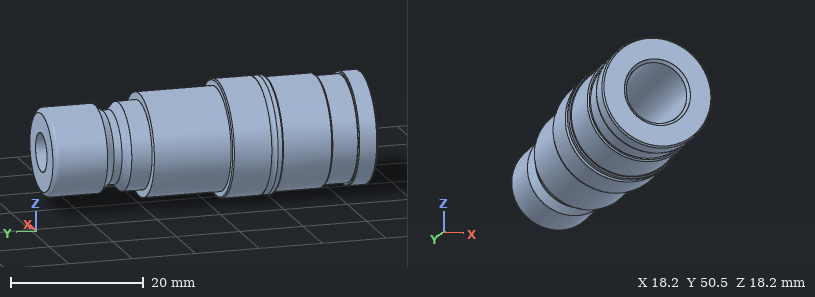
import cadquery as cq
import math

LENGTH = 50.5

BARREL_RADIUS = 8.75
BARREL_CHAMFER = 0.25
RIM_LENGTH = 3.1
RIM_BACK_CHAMFER = 0.15
RELIEF_RADIUS = 8.3
RELIEF_END = 7.1

COLLAR_RADIUS = 9.1
COLLAR_START = 15.0
COLLAR_END = 23.0
COLLAR_CHAMFER = 0.2
RING_GROOVE_START = 15.9
RING_GROOVE_WIDTH = 1.0
RING_GROOVE_DEPTH = 0.35

BODY_RADIUS = 8.05
BODY_END = 35.1
PLUG_RADIUS = 6.85
PLUG_TAPER_WIDTH = 0.8
PLUG_TAPER_ANGLE = 30
PLUG_FILLET = 0.6
NECK_RADIUS = 5.7
NECK_START = 39.5
NECK_END = 40.75
NECK_FRONT_TAPER = 1.2
NECK_BACK_TAPER = 1.35

SOCKET_RADIUS = 4.8
SOCKET_CHAMFER = 0.45
SOCKET_DEPTH = COLLAR_END
THROUGH_RADIUS = 3.0


def turn(outline):
    """Full turn about the Y axis of a closed outline drawn in the XY plane."""
    return outline.revolve(360, (0, 0, 0), (0, 1, 0))


def cylinder(radius, start, end):
    """Solid cylinder on the Y axis between two Y positions."""
    plane = cq.Workplane(cq.Plane(origin=(0, start, 0), xDir=(1, 0, 0), normal=(0, 1, 0)))
    return plane.circle(radius).extrude(end - start)


def revolve_profile(points):
    """Turned solid from the straight-sided outline through (radius, Y) points."""
    return turn(cq.Workplane("XY").polyline(points).close())


def make_rim():
    rim = cylinder(BARREL_RADIUS, 0, RIM_LENGTH)
    return rim.faces("<Y").chamfer(BARREL_CHAMFER).faces(">Y").chamfer(RIM_BACK_CHAMFER)


def make_barrel():
    relief = cylinder(RELIEF_RADIUS, RIM_LENGTH, RELIEF_END)
    barrel = cylinder(BARREL_RADIUS, RELIEF_END, COLLAR_START)
    return relief.union(barrel.faces("<Y").chamfer(BARREL_CHAMFER))


def make_collar():
    collar = cylinder(COLLAR_RADIUS, COLLAR_START, COLLAR_END)
    collar = collar.faces("<Y or >Y").edges().chamfer(COLLAR_CHAMFER)
    groove_end = RING_GROOVE_START + RING_GROOVE_WIDTH
    groove_middle = RING_GROOVE_START + RING_GROOVE_WIDTH / 2
    groove_outline = (
        cq.Workplane("XY")
        .moveTo(COLLAR_RADIUS, RING_GROOVE_START)
        .threePointArc((COLLAR_RADIUS - RING_GROOVE_DEPTH, groove_middle), (COLLAR_RADIUS, groove_end))
        .close()
    )
    return collar.cut(turn(groove_outline))


def make_plug():
    taper_start = LENGTH - PLUG_TAPER_WIDTH * math.tan(math.radians(PLUG_TAPER_ANGLE))
    profile = [
        (0, BODY_END),
        (PLUG_RADIUS, BODY_END),
        (PLUG_RADIUS, NECK_START - NECK_FRONT_TAPER),
        (NECK_RADIUS, NECK_START),
        (NECK_RADIUS, NECK_END),
        (PLUG_RADIUS, NECK_END + NECK_BACK_TAPER),
        (PLUG_RADIUS, taper_start),
        (PLUG_RADIUS - PLUG_TAPER_WIDTH, LENGTH),
        (0, LENGTH),
    ]
    plug = revolve_profile(profile)
    return plug.edges("%CIRCLE").edges(">>Y[-2]").fillet(PLUG_FILLET)


def make_bore():
    profile = [
        (0, 0),
        (SOCKET_RADIUS + SOCKET_CHAMFER, 0),
        (SOCKET_RADIUS, SOCKET_CHAMFER),
        (SOCKET_RADIUS, SOCKET_DEPTH),
        (THROUGH_RADIUS, SOCKET_DEPTH),
        (THROUGH_RADIUS, LENGTH),
        (0, LENGTH),
    ]
    return revolve_profile(profile)


body = cylinder(BODY_RADIUS, COLLAR_END, BODY_END)
outside = make_rim().union(make_barrel()).union(make_collar()).union(body).union(make_plug())
result = outside.cut(make_bore())